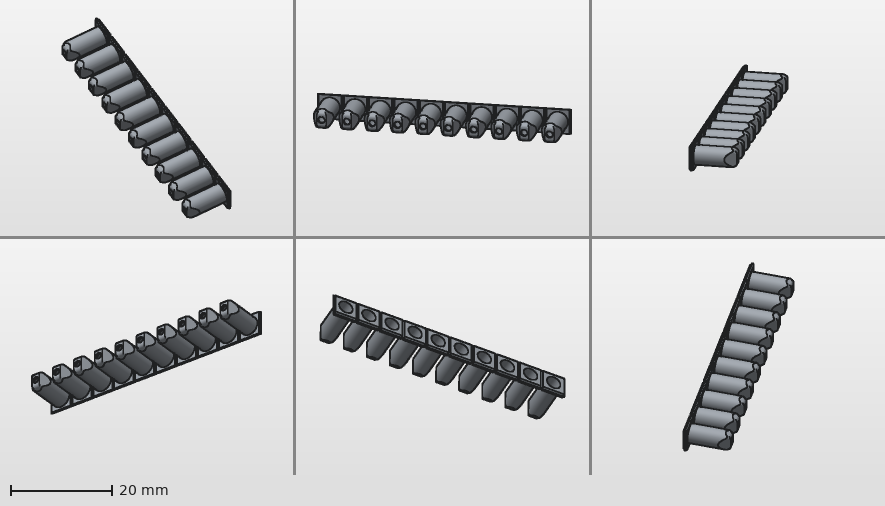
import cadquery as cq
import math

cell_count = 10
pitch = 5.1
total_depth = 9.3
row_length = cell_count * pitch

plate_height = 5.0
plate_thickness = 0.8
bevel_height = 0.25
bevel_depth = 0.4
back_groove_half_width = 0.25
back_groove_depth = 0.3
front_groove_half_width = 0.28
front_groove_floor_half_width = 0.12
web_thickness = 0.25

pin_diameter = 4.0
pin_radius = pin_diameter / 2
hole_diameter = 1.3
hole_length = 0.5
bore_diameter = 3.0
taper_angle = math.radians(25)
side_taper_length = 2.3
top_taper_length = 1.2
nose_radius = 0.75
corner_radius = 0.5


def make_plate():
    """Plate of one cell with its back face on y = 0."""
    half_height = plate_height / 2
    height_profile = (
        cq.Workplane("YZ", origin=(-pitch / 2, 0, 0))
        .moveTo(0, bevel_height - half_height)
        .lineTo(-bevel_depth, -half_height)
        .lineTo(-plate_thickness, -half_height)
        .lineTo(-plate_thickness, half_height)
        .lineTo(-bevel_depth, half_height)
        .lineTo(0, half_height - bevel_height)
        .close()
        .extrude(pitch)
    )
    half_pitch = pitch / 2
    web_front = back_groove_depth + web_thickness
    half_outline = [
        (0, 0),
        (half_pitch - back_groove_half_width, 0),
        (half_pitch - back_groove_half_width, -back_groove_depth),
        (half_pitch, -back_groove_depth),
        (half_pitch, -web_front),
        (half_pitch - front_groove_floor_half_width, -web_front),
        (half_pitch - front_groove_half_width, -plate_thickness),
        (0, -plate_thickness),
    ]
    length_profile = (
        cq.Workplane("XY", origin=(0, 0, -half_height))
        .polyline(half_outline)
        .close()
        .extrude(plate_height)
    )
    length_profile = length_profile.union(length_profile.mirror("YZ"))
    return height_profile.intersect(length_profile)


def make_tip_taper():
    """Four-sided taper widening from the tip, with rounded corners and a rounded nose."""
    pin_length = total_depth - plate_thickness
    widening = pin_length * math.tan(taper_angle)
    tip_half_width = pin_radius - side_taper_length * math.tan(taper_angle)
    tip_half_height = pin_radius - top_taper_length * math.tan(taper_angle)
    taper = (
        cq.Workplane("XZ", origin=(0, -total_depth, 0))
        .rect(2 * tip_half_width, 2 * tip_half_height)
        .workplane(offset=-pin_length)
        .rect(2 * (tip_half_width + widening), 2 * (tip_half_height + widening))
        .loft(ruled=True)
    )
    corner_edges = taper.faces("<X or >X").edges("not(|Z)")
    rounded_corners = corner_edges.fillet(corner_radius)
    rounded_nose = taper.faces("<Y").edges("|X").fillet(nose_radius)
    return rounded_corners.intersect(rounded_nose)


def make_pin():
    """Round pin, flattened on four sides towards the tip."""
    round_body = cq.Workplane("XZ").circle(pin_radius).extrude(total_depth)
    return round_body.intersect(make_tip_taper())


def make_bore():
    """Wide bore from the back, narrowing to the small hole in the tip."""
    cone_length = (bore_diameter - hole_diameter) / 2 / math.tan(taper_angle)
    cone_front = hole_length - total_depth
    return (
        cq.Workplane("XY")
        .lineTo(bore_diameter / 2, 0)
        .lineTo(bore_diameter / 2, cone_front + cone_length)
        .lineTo(hole_diameter / 2, cone_front)
        .lineTo(hole_diameter / 2, -total_depth)
        .lineTo(0, -total_depth)
        .close()
        .revolve(360, (0, 0, 0), (0, 1, 0))
    )


cell = make_plate().union(make_pin()).cut(make_bore())
result = cq.Workplane("XY")
for index in range(cell_count):
    cell_center = (index + 0.5) * pitch - row_length / 2
    result = result.union(cell.translate((cell_center, 0, 0)))